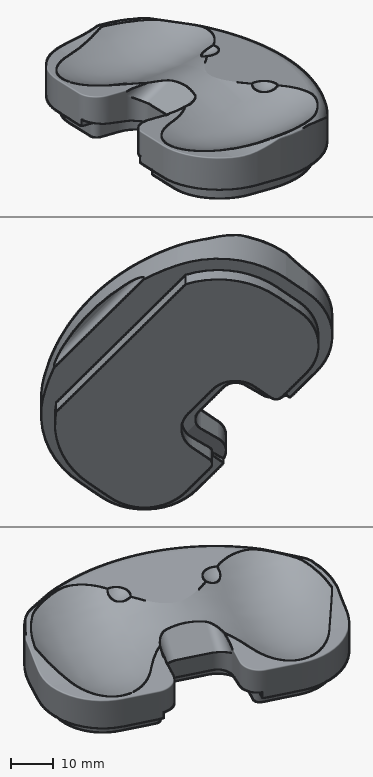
import cadquery as cq
import math

WIDTH = 76.05
DEPTH = 50.8
HEIGHT = 14.3
HALF_WIDTH = WIDTH / 2

FRONT_RADIUS = 52.5
SIDE_RADIUS = 25.1
REAR_RADIUS = 16.0
NOTCH_HALF_WIDTH = 8.15
NOTCH_END = 13.9
NOTCH_CORNER_RADIUS = 3.65
LEG_CORNER_RADIUS = 5.0

FLANGE_HEIGHT = 3.8
FLANGE_INSET = 3.3
FLANGE_FRONT = 41.4

SHELF_HEIGHT = 12.0
SHELF_FRONT = 9.9
RAMP_TOP = 22.2
RIDGE_RADIUS = 3.05
RIM_RADIUS = 0.3
CROWN_RADIUS = 3.6
CROWN_END_ANGLE = 37.0

DISH_X = 22.0
DISH_DEPTH = 5.3
DISH_Y = 19.0
DISH_RADIUS = 23.35
DISH_SWEEP_RADIUS = 53.25
DISH_OUTER_REACH = 19.0
SADDLE_HALF_WIDTH = 12.9

DIMPLE_X = 12.5
DIMPLE_Y = 35.1
DIMPLE_RADIUS = 3.4
DIMPLE_DEPTH = 1.1

SLOPE_BOTTOM = 9.0
SLOPE_RISE = 5.6
SLOPE_RUN = 9.2
SLOPE_CORNER_RADIUS = 3.2

FRONT_UNDERCUT_TOP = 5.85
FRONT_UNDERCUT_HALF_WIDTH = 16.7
FRONT_UNDERCUT_LIP = 49.5
FRONT_UNDERCUT_BACK = 48.15
LEG_UNDERCUT_TOP = 5.5
LEG_UNDERCUT_HALF_WIDTH = 12.2
LEG_UNDERCUT_LENGTH = 12.2

MARGIN = 3.8

FRONT_CENTRE_Y = DEPTH - FRONT_RADIUS
SIDE_CENTRE_X = HALF_WIDTH - SIDE_RADIUS
CENTRE_GAP = FRONT_RADIUS - SIDE_RADIUS
SIDE_CENTRE_Y = FRONT_CENTRE_Y + math.sqrt(CENTRE_GAP**2 - SIDE_CENTRE_X**2)
FRONT_HALF_ANGLE = math.asin(SIDE_CENTRE_X / CENTRE_GAP)
LEG_CENTRE_X = NOTCH_HALF_WIDTH + LEG_CORNER_RADIUS


def on_arc(centre, radius, angle):
    """Point on an arc, with the angle in radians from +Y towards +X."""
    return (centre[0] + radius * math.sin(angle), centre[1] + radius * math.cos(angle))


def mirrored(point):
    return (-point[0], point[1])


def outline(inset=0.0):
    """Closed plan outline, moved inwards by the inset."""
    half = HALF_WIDTH - inset
    rear = inset
    front_radius = FRONT_RADIUS - inset
    side_radius = SIDE_RADIUS - inset
    rear_radius = REAR_RADIUS - inset
    leg_radius = LEG_CORNER_RADIUS - inset
    notch_half = NOTCH_HALF_WIDTH + inset
    notch_end = NOTCH_END + inset
    notch_radius = NOTCH_CORNER_RADIUS + inset
    side_centre = (SIDE_CENTRE_X, SIDE_CENTRE_Y)
    rear_centre = (HALF_WIDTH - REAR_RADIUS, REAR_RADIUS)
    leg_centre = (LEG_CENTRE_X, LEG_CORNER_RADIUS)
    notch_centre = (notch_half - notch_radius, notch_end - notch_radius)

    front_end = on_arc((0, FRONT_CENTRE_Y), front_radius, FRONT_HALF_ANGLE)
    side_middle = on_arc(side_centre, side_radius, (FRONT_HALF_ANGLE + math.pi / 2) / 2)
    rear_middle = on_arc(rear_centre, rear_radius, 0.75 * math.pi)
    leg_middle = on_arc(leg_centre, leg_radius, -0.75 * math.pi)
    notch_middle = on_arc(notch_centre, notch_radius, 0.25 * math.pi)
    return (
        cq.Workplane("XY")
        .moveTo(*mirrored(front_end))
        .threePointArc((0, DEPTH - inset), front_end)
        .threePointArc(side_middle, (half, SIDE_CENTRE_Y))
        .lineTo(half, rear_centre[1])
        .threePointArc(rear_middle, (rear_centre[0], rear))
        .lineTo(leg_centre[0], rear)
        .threePointArc(leg_middle, (notch_half, leg_centre[1]))
        .lineTo(notch_half, notch_centre[1])
        .threePointArc(notch_middle, (notch_centre[0], notch_end))
        .lineTo(-notch_centre[0], notch_end)
        .threePointArc(mirrored(notch_middle), (-notch_half, notch_centre[1]))
        .lineTo(-notch_half, leg_centre[1])
        .threePointArc(mirrored(leg_middle), (-leg_centre[0], rear))
        .lineTo(-rear_centre[0], rear)
        .threePointArc(mirrored(rear_middle), (-half, rear_centre[1]))
        .lineTo(-half, SIDE_CENTRE_Y)
        .threePointArc(mirrored(side_middle), mirrored(front_end))
        .close()
    )


def across_width(sketch, half_width):
    """Extrude a sketch of the YZ plane equally to both sides of X = 0."""
    return sketch.extrude(half_width, both=True)


def ramp_cutter():
    """Space above the rear shelf and the concave ramp."""
    run = RAMP_TOP - SHELF_FRONT
    rise = HEIGHT - SHELF_HEIGHT
    radius = (run**2 + rise**2) / (2 * rise)
    half_angle = math.asin(run / radius) / 2
    middle = (
        SHELF_FRONT + radius * math.sin(half_angle),
        SHELF_HEIGHT + radius * (1 - math.cos(half_angle)),
    )
    sketch = (
        cq.Workplane("YZ")
        .moveTo(-MARGIN, SHELF_HEIGHT)
        .lineTo(SHELF_FRONT, SHELF_HEIGHT)
        .threePointArc(middle, (RAMP_TOP, HEIGHT))
        .lineTo(RAMP_TOP, HEIGHT + MARGIN)
        .lineTo(-MARGIN, HEIGHT + MARGIN)
        .close()
    )
    return across_width(sketch, HALF_WIDTH + MARGIN)


def crown_envelope():
    """Block rounded along its front top edge.

    Past the end of the rounding its sides run straight, so that the part curves
    away from them and the rounding fades out.
    """
    end_angle = math.radians(CROWN_END_ANGLE)
    side_centre = (SIDE_CENTRE_X, SIDE_CENTRE_Y)
    front_end = on_arc((0, FRONT_CENTRE_Y), FRONT_RADIUS, FRONT_HALF_ANGLE)
    side_middle = on_arc(side_centre, SIDE_RADIUS, (FRONT_HALF_ANGLE + end_angle) / 2)
    side_end = on_arc(side_centre, SIDE_RADIUS, end_angle)
    rear_corner = (side_end[0] + (side_end[1] + MARGIN) / math.tan(end_angle), -MARGIN)
    block = (
        cq.Workplane("XY")
        .moveTo(*mirrored(front_end))
        .threePointArc((0, DEPTH), front_end)
        .threePointArc(side_middle, side_end)
        .lineTo(*rear_corner)
        .lineTo(*mirrored(rear_corner))
        .lineTo(*mirrored(side_end))
        .threePointArc(mirrored(side_middle), mirrored(front_end))
        .close()
        .extrude(HEIGHT)
    )
    return block.faces(">Z").edges("not <Y").fillet(CROWN_RADIUS)


def slope_cutter():
    """Wedge that leaves the sloped face above the notch end, with rounded sides."""
    length = 2.3
    sketch = (
        cq.Workplane("YZ")
        .moveTo(NOTCH_END, SLOPE_BOTTOM)
        .lineTo(NOTCH_END + length * SLOPE_RUN, SLOPE_BOTTOM + length * SLOPE_RISE)
        .lineTo(NOTCH_END - length * SLOPE_RISE, SLOPE_BOTTOM + length * SLOPE_RUN)
        .lineTo(NOTCH_END - length * SLOPE_RUN, SLOPE_BOTTOM - length * SLOPE_RISE)
        .close()
    )
    wedge = across_width(sketch, NOTCH_HALF_WIDTH)
    slope_direction = cq.Vector(0, SLOPE_RUN, SLOPE_RISE)
    side_edges = wedge.edges(cq.selectors.ParallelDirSelector(slope_direction))
    return side_edges.fillet(SLOPE_CORNER_RADIUS)


def dish_cutter():
    """Both dishes and the saddle as one wavy profile revolved about a high axis along X."""
    floor = HEIGHT - DISH_DEPTH
    axis_height = floor + DISH_SWEEP_RADIUS
    join_angle = math.asin((DISH_X - SADDLE_HALF_WIDTH) / DISH_RADIUS)
    saddle_radius = SADDLE_HALF_WIDTH / math.sin(join_angle)
    outer_angle = math.asin(DISH_OUTER_REACH / DISH_RADIUS)
    join_height = floor + DISH_RADIUS * (1 - math.cos(join_angle))
    saddle_height = join_height + saddle_radius * (1 - math.cos(join_angle))
    join = (SADDLE_HALF_WIDTH, join_height)
    bottom = (DISH_X, floor)
    outer_height = floor + DISH_RADIUS * (1 - math.cos(outer_angle))
    outer = (DISH_X + DISH_OUTER_REACH, outer_height)
    axis_end = (outer[0], axis_height)
    return (
        cq.Workplane("XZ", origin=(0, DISH_Y, 0))
        .moveTo(*mirrored(outer))
        .threePointArc(mirrored(bottom), mirrored(join))
        .threePointArc((0, saddle_height), join)
        .threePointArc(bottom, outer)
        .lineTo(*axis_end)
        .lineTo(*mirrored(axis_end))
        .close()
        .revolve(360, mirrored(axis_end), axis_end)
    )


def dimple_cutter():
    """Ball that sinks a shallow dimple into the top on the +X side."""
    ball_radius = (DIMPLE_RADIUS**2 + DIMPLE_DEPTH**2) / (2 * DIMPLE_DEPTH)
    centre = (DIMPLE_X, DIMPLE_Y, HEIGHT - DIMPLE_DEPTH + ball_radius)
    return cq.Workplane("XY").sphere(ball_radius).translate(centre)


def front_undercut():
    """Groove under the front edge, with a rounded inner corner."""
    radius = FRONT_UNDERCUT_LIP - FRONT_UNDERCUT_BACK
    corner_turn = radius / math.sqrt(2)
    corner_bottom = FRONT_UNDERCUT_TOP - radius
    sketch = (
        cq.Workplane("YZ")
        .moveTo(DEPTH + MARGIN, FLANGE_HEIGHT)
        .lineTo(DEPTH + MARGIN, FRONT_UNDERCUT_TOP)
        .lineTo(FRONT_UNDERCUT_LIP, FRONT_UNDERCUT_TOP)
        .threePointArc(
            (FRONT_UNDERCUT_LIP - corner_turn, corner_bottom + corner_turn),
            (FRONT_UNDERCUT_BACK, corner_bottom),
        )
        .lineTo(FRONT_UNDERCUT_BACK, FLANGE_HEIGHT)
        .close()
    )
    return across_width(sketch, FRONT_UNDERCUT_HALF_WIDTH)


def leg_undercut():
    """Wedge under the inner sides of both legs, highest at the rear face."""
    sketch = (
        cq.Workplane("YZ")
        .moveTo(0, FLANGE_HEIGHT)
        .lineTo(0, LEG_UNDERCUT_TOP)
        .lineTo(LEG_UNDERCUT_LENGTH, FLANGE_HEIGHT)
        .close()
    )
    return across_width(sketch, LEG_UNDERCUT_HALF_WIDTH)


body = outline().extrude(HEIGHT - FLANGE_HEIGHT).translate((0, 0, FLANGE_HEIGHT))
body = body.cut(ramp_cutter())
ramp_ridge = cq.selectors.BoxSelector(
    (-MARGIN, RAMP_TOP - RIM_RADIUS, HEIGHT - RIM_RADIUS),
    (MARGIN, RAMP_TOP + RIM_RADIUS, HEIGHT + RIM_RADIUS),
)
body = body.edges(ramp_ridge).fillet(RIDGE_RADIUS)
body = body.faces("<Y").edges(">Z").fillet(RIM_RADIUS)
body = body.intersect(crown_envelope())

body = body.cut(slope_cutter())
dimple = dimple_cutter()
body = body.cut(dimple).cut(dimple.mirror("YZ"))
body = body.cut(dish_cutter())

body = body.cut(front_undercut())
body = body.cut(leg_undercut())

flange = outline(FLANGE_INSET).extrude(LEG_UNDERCUT_TOP)
flange_limit = cq.Workplane("XY").box(WIDTH, FLANGE_FRONT, HEIGHT, centered=(True, False, False))
flange = flange.intersect(flange_limit)

result = body.union(flange)